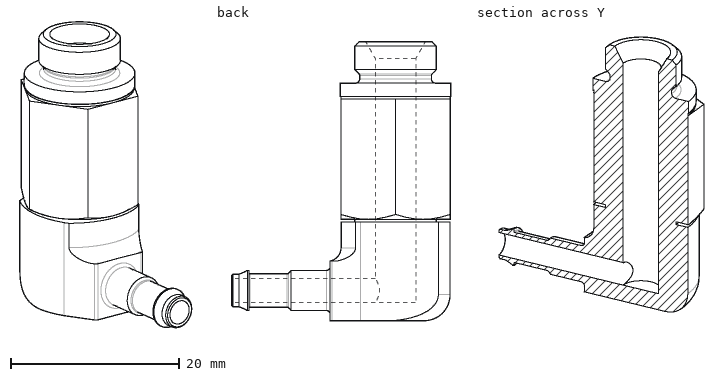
import cadquery as cq
import math


TOTAL_HEIGHT = 33.15
TOTAL_LENGTH = 26.05
THREAD_BOTTOM = 29.85
COLLAR_TOP = 28.25
COLLAR_BOTTOM = 26.65
HEX_TOP = 26.35
HEX_BOTTOM = 12.07
BLOCK_TOP = 11.77

THREAD_RADIUS = 9.7 / 2
THREAD_CHAMFER = 0.53
UNDERCUT_RADIUS = 8.55 / 2
UNDERCUT_CONE_DROP = 0.5
UNDERCUT_BLEND_DROP = 0.2
UNDERCUT_FILLET = 0.5
COLLAR_RADIUS = 13.15 / 2
HEX_FLATS = 13.0
HEX_CHAMFER_ANGLE = 30.0
NECK_RADIUS = THREAD_RADIUS

BLOCK_HALF_WIDTH = HEX_FLATS / 2
BLOCK_ARC_RADIUS = 9.75
BLOCK_ARC_OFFSET = BLOCK_ARC_RADIUS - BLOCK_HALF_WIDTH
FRONT_WALL_RADIUS = 8.7
TAPER_START = 4.18
TAPER_ANGLE = 30.0
BLOCK_END = 7.8
BLOCK_EDGE_FILLET = 0.45
HEEL_FILLET = 3.1
SHOULDER_HEIGHT = 7.1
SHOULDER_FILLET = 1.6

SPIGOT_AXIS_HEIGHT = 3.6
SPIGOT_ROOT_RADIUS = 4.8 / 2
SPIGOT_ROOT_FILLET = 0.4
SPIGOT_ROOT_END = 12.4
STEP_CONE_LENGTH = 0.3
STEP_CONE_DROP = 0.33
STEP_END = 12.9
HOSE_RADIUS = 4.0 / 2
BARB_START = 17.4
BARB_BACK_FILLET = 0.1
BARB_FLANK_START = 17.6
BARB_HOLLOW = 0.03
BARB_END = 18.6
TIP_RADIUS = 3.9 / 2
TIP_CHAMFER = 0.15
SPIGOT_END = TOTAL_LENGTH - COLLAR_RADIUS

BORE_RADIUS = 4.8 / 2
BORE_MOUTH_RADIUS = 3.55
BORE_MOUTH_DEPTH = 2.0
SPIGOT_BORE_RADIUS = 2.9 / 2
BORE_FLOOR = SPIGOT_AXIS_HEIGHT - SPIGOT_BORE_RADIUS


def cylinder(radius, bottom, top):
    return cq.Workplane("XY").workplane(offset=bottom).circle(radius).extrude(top - bottom)


def screw_in_end():
    """Thread, undercut, sealing collar and the short land above the hexagon."""
    cone_end_radius = THREAD_RADIUS - UNDERCUT_CONE_DROP
    cone_end = THREAD_BOTTOM - UNDERCUT_CONE_DROP
    profile = (
        cq.Workplane("XZ")
        .moveTo(0, TOTAL_HEIGHT)
        .lineTo(THREAD_RADIUS - THREAD_CHAMFER, TOTAL_HEIGHT)
        .lineTo(THREAD_RADIUS, TOTAL_HEIGHT - THREAD_CHAMFER)
        .lineTo(THREAD_RADIUS, THREAD_BOTTOM)
        .lineTo(cone_end_radius, cone_end)
        .tangentArcPoint((UNDERCUT_RADIUS, cone_end - UNDERCUT_BLEND_DROP), relative=False)
        .lineTo(UNDERCUT_RADIUS, COLLAR_TOP + UNDERCUT_FILLET)
        .tangentArcPoint((UNDERCUT_RADIUS + UNDERCUT_FILLET, COLLAR_TOP), relative=False)
        .lineTo(COLLAR_RADIUS, COLLAR_TOP)
        .lineTo(COLLAR_RADIUS, COLLAR_BOTTOM)
        .lineTo(HEX_FLATS / 2, COLLAR_BOTTOM)
        .lineTo(HEX_FLATS / 2, HEX_TOP)
        .lineTo(0, HEX_TOP)
        .close()
    )
    return profile.revolve(360, (0, 0, 0), (0, 1, 0))


def hexagon():
    """Hexagon with corners on the Y axis, its lower corners turned off by a cone."""
    corner_diameter = HEX_FLATS / math.cos(math.pi / 6)
    prism = (
        cq.Workplane("XY")
        .workplane(offset=HEX_BOTTOM)
        .transformed(rotate=(0, 0, 90))
        .polygon(6, corner_diameter)
        .extrude(HEX_TOP - HEX_BOTTOM)
    )
    cone_rise = corner_diameter * math.tan(math.radians(HEX_CHAMFER_ANGLE))
    turned_blank = (
        cq.Workplane("XZ")
        .moveTo(0, HEX_BOTTOM)
        .lineTo(HEX_FLATS / 2, HEX_BOTTOM)
        .lineTo(HEX_FLATS / 2 + corner_diameter, HEX_BOTTOM + cone_rise)
        .lineTo(HEX_FLATS / 2 + corner_diameter, HEX_TOP)
        .lineTo(0, HEX_TOP)
        .close()
        .revolve(360, (0, 0, 0), (0, 1, 0))
    )
    return prism.intersect(turned_blank)


def block_outline():
    """Prism with bulging sides that continue as flat tapered sides towards +X."""
    taper_slope = math.tan(math.radians(TAPER_ANGLE))
    taper_half_width = math.sqrt(BLOCK_ARC_RADIUS**2 - TAPER_START**2) - BLOCK_ARC_OFFSET
    end_half_width = taper_half_width - (BLOCK_END - TAPER_START) * taper_slope
    back_half_width = math.sqrt(BLOCK_ARC_RADIUS**2 - BLOCK_HALF_WIDTH**2) - BLOCK_ARC_OFFSET
    return (
        cq.Workplane("XY")
        .moveTo(-BLOCK_HALF_WIDTH, -back_half_width)
        .threePointArc((0, -BLOCK_HALF_WIDTH), (TAPER_START, -taper_half_width))
        .lineTo(BLOCK_END, -end_half_width)
        .lineTo(BLOCK_END, end_half_width)
        .lineTo(TAPER_START, taper_half_width)
        .threePointArc((0, BLOCK_HALF_WIDTH), (-BLOCK_HALF_WIDTH, back_half_width))
        .close()
        .extrude(BLOCK_TOP)
        .edges("|Z and >X")
        .fillet(BLOCK_EDGE_FILLET)
    )


def rounded_heel():
    """Disc whose rim is the curved back wall of the block and its rounded lower edge."""
    return (
        cylinder(BLOCK_ARC_RADIUS, 0, BLOCK_TOP)
        .faces("<Z")
        .edges()
        .fillet(HEEL_FILLET)
        .translate((BLOCK_ARC_OFFSET, 0, 0))
    )


def shoulder_cut():
    """Ring that leaves the curved front wall and its concave foot above the shoulder."""
    outer_radius = 2 * FRONT_WALL_RADIUS
    return (
        cq.Workplane("XZ")
        .moveTo(FRONT_WALL_RADIUS, BLOCK_TOP)
        .lineTo(FRONT_WALL_RADIUS, SHOULDER_HEIGHT + SHOULDER_FILLET)
        .tangentArcPoint((FRONT_WALL_RADIUS + SHOULDER_FILLET, SHOULDER_HEIGHT), relative=False)
        .lineTo(outer_radius, SHOULDER_HEIGHT)
        .lineTo(outer_radius, BLOCK_TOP)
        .close()
        .revolve(360, (0, 0, 0), (0, 1, 0))
        .translate((BLOCK_HALF_WIDTH - FRONT_WALL_RADIUS, 0, 0))
    )


def elbow_block():
    front_keep = cq.Workplane("XY").box(
        BLOCK_END, 2 * BLOCK_ARC_RADIUS, BLOCK_TOP, centered=(False, True, False)
    ).translate((BLOCK_ARC_OFFSET, 0, 0))
    envelope = rounded_heel().union(front_keep)
    front_wall = shoulder_cut().intersect(front_keep)
    return block_outline().intersect(envelope).cut(front_wall)


def spigot():
    """Hose spigot turned about a line parallel to X, starting inside the block."""
    profile = (
        cq.Workplane("XZ")
        .moveTo(0, 0)
        .lineTo(0, SPIGOT_ROOT_RADIUS + SPIGOT_ROOT_FILLET)
        .lineTo(BLOCK_END, SPIGOT_ROOT_RADIUS + SPIGOT_ROOT_FILLET)
        .radiusArc((BLOCK_END + SPIGOT_ROOT_FILLET, SPIGOT_ROOT_RADIUS), -SPIGOT_ROOT_FILLET)
        .lineTo(SPIGOT_ROOT_END, SPIGOT_ROOT_RADIUS)
        .lineTo(SPIGOT_ROOT_END + STEP_CONE_LENGTH, SPIGOT_ROOT_RADIUS - STEP_CONE_DROP)
        .tangentArcPoint((STEP_END, HOSE_RADIUS), relative=False)
        .lineTo(BARB_START - BARB_BACK_FILLET, HOSE_RADIUS)
        .tangentArcPoint((BARB_START, HOSE_RADIUS + BARB_BACK_FILLET), relative=False)
        .lineTo(BARB_START, SPIGOT_ROOT_RADIUS)
        .lineTo(BARB_FLANK_START, SPIGOT_ROOT_RADIUS)
        .sagittaArc((BARB_END, TIP_RADIUS), -BARB_HOLLOW)
        .lineTo(SPIGOT_END - TIP_CHAMFER, TIP_RADIUS)
        .lineTo(SPIGOT_END, TIP_RADIUS - TIP_CHAMFER)
        .lineTo(SPIGOT_END, 0)
        .close()
    )
    return profile.revolve(360, (0, 0, 0), (1, 0, 0)).translate((0, 0, SPIGOT_AXIS_HEIGHT))


def main_bore():
    """Blind bore from the top with a conical mouth."""
    mouth_bottom = TOTAL_HEIGHT - BORE_MOUTH_DEPTH
    return (
        cq.Workplane("XZ")
        .moveTo(0, TOTAL_HEIGHT)
        .lineTo(BORE_MOUTH_RADIUS, TOTAL_HEIGHT)
        .lineTo(BORE_RADIUS, mouth_bottom)
        .lineTo(BORE_RADIUS, BORE_FLOOR)
        .lineTo(0, BORE_FLOOR)
        .close()
        .revolve(360, (0, 0, 0), (0, 1, 0))
    )


def spigot_bore():
    """Bore along the spigot that meets the main bore level with its floor."""
    return (
        cq.Workplane("YZ")
        .center(0, SPIGOT_AXIS_HEIGHT)
        .circle(SPIGOT_BORE_RADIUS)
        .extrude(SPIGOT_END)
    )


neck = cylinder(NECK_RADIUS, BLOCK_TOP, HEX_BOTTOM)
body = elbow_block().union(neck).union(hexagon()).union(screw_in_end()).union(spigot())
result = body.cut(main_bore()).cut(spigot_bore())